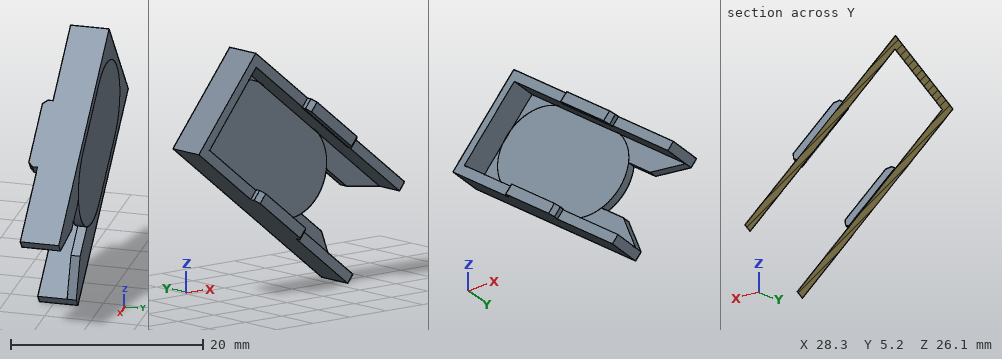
import cadquery as cq

TILT = 38.7
LENGTH = 26.2
WIDTH = 12.5
DEPTH = 4.15
WALL = 1.13
END_WALL = 1.0
FLOOR = 1.0

NOTCH_WIDTH = 5.5
TAB_END = 22.28

LUG_START = 9.13
LUG_LENGTH = 8.05
LUG_WIDTH = 1.22
LUG_HEIGHT = 1.05
LUG_CHAMFER = 0.5

PAD_LENGTH = 18.6
PAD_WIDTH = 10.52
PAD_CENTER = 10.2

inner_width = WIDTH - 2 * WALL
floor_front = DEPTH - FLOOR


def front_plane(y):
    """Plane at depth y, facing the front (-Y), with local axes along X and Z."""
    return cq.Workplane("XZ", origin=(0, y, 0))


def make_lug(z_bottom):
    """Raised lug with both front corners chamfered."""
    end = LUG_START + LUG_LENGTH
    shoulder = LUG_CHAMFER - LUG_HEIGHT
    return (
        cq.Workplane("XY", origin=(0, 0, z_bottom))
        .moveTo(LUG_START, 0)
        .lineTo(LUG_START, shoulder)
        .lineTo(LUG_START + LUG_CHAMFER, -LUG_HEIGHT)
        .lineTo(end - LUG_CHAMFER, -LUG_HEIGHT)
        .lineTo(end, shoulder)
        .lineTo(end, 0)
        .close()
        .extrude(LUG_WIDTH)
    )


def make_frame():
    """U-shaped frame with a pad opening and notch in its floor, and one lug on each side wall."""
    block = front_plane(DEPTH).rect(LENGTH, WIDTH).extrude(DEPTH)
    block = block.translate((LENGTH / 2, 0, 0))

    pocket = (
        front_plane(floor_front)
        .center((END_WALL + LENGTH) / 2, 0)
        .rect(LENGTH - END_WALL, inner_width)
        .extrude(floor_front)
    )

    notch = (
        front_plane(DEPTH)
        .moveTo(PAD_CENTER, -NOTCH_WIDTH / 2)
        .lineTo(TAB_END, -NOTCH_WIDTH / 2)
        .lineTo(LENGTH, -inner_width / 2)
        .lineTo(LENGTH, inner_width / 2)
        .lineTo(TAB_END, NOTCH_WIDTH / 2)
        .lineTo(PAD_CENTER, NOTCH_WIDTH / 2)
        .close()
        .extrude(FLOOR)
    )

    frame = block.cut(pocket).cut(notch).cut(make_pad())
    for z_bottom in (-WIDTH / 2, WIDTH / 2 - LUG_WIDTH):
        frame = frame.union(make_lug(z_bottom))
    return frame


def make_pad():
    """Flat pad with fully rounded ends, as thick as the floor."""
    return (
        front_plane(DEPTH)
        .center(PAD_CENTER, 0)
        .slot2D(PAD_LENGTH, PAD_WIDTH)
        .extrude(FLOOR)
    )


def tilt(body):
    """Turn a body about the Y axis so that its open end points down."""
    return body.rotate((0, 0, 0), (0, 1, 0), TILT)


frame = tilt(make_frame())
pad = tilt(make_pad())

result = cq.Compound.makeCompound([frame.val(), pad.val()])